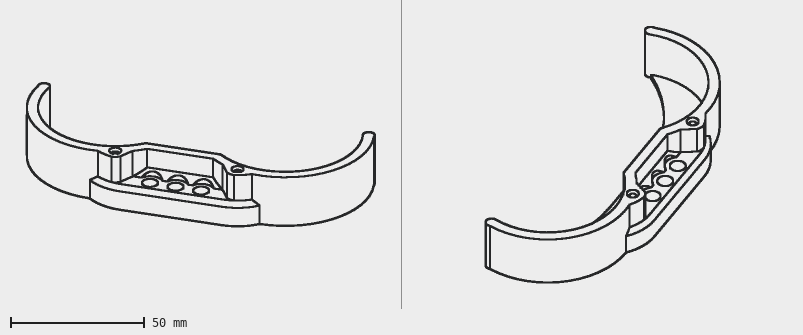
import cadquery as cq
import math

total_width = 132.91
total_depth = 48.12
height = 21.0

arm_outer_radius = 33.25
wall_thickness = 4.25
arm_inner_radius = arm_outer_radius - wall_thickness
arm_mid_radius = arm_outer_radius - wall_thickness / 2
arm_x = total_width / 2 - arm_outer_radius
arm_y = 38.2
tip_start_y = 45.4
bridge_thickness = 4.0
bridge_front_y = 11.9
bridge_back_y = bridge_front_y + bridge_thickness

plate_thickness = 1.5
plate_flat_half = 13.7
plate_edge_y = 21.9
plate_edge_radius = 61.0

tray_height = 10.0
tray_flat_half = 20.0
rim_chamfer = 2.0
tray_join_y = arm_y - arm_outer_radius
tray_end_y = tray_join_y + wall_thickness / 2

hole_diameter = 6.0
hole_clearance_diameter = 10.0
hole_pitch = 10.0
hole_count = 3
hole_y = 6.05
slope_size = 3.0

boss_x = 23.9
boss_y = 7.1
boss_round_x = 20.8
boss_wall_x = 17.6
screw_diameter = 2.53
screw_depth = 15.0
countersink_diameter = 4.5


def circle_front_y(center_y, radius, offset_x):
    """Y of the front (lower Y) side of a circle at a given X distance from its centre."""
    return center_y - math.sqrt(radius**2 - offset_x**2)


def circle_half_chord(center_y, radius, y):
    """X distance from a circle's centre to the circle at a given Y."""
    return math.sqrt(radius**2 - (center_y - y) ** 2)


def on_arm(radius, degrees):
    """Point on a circle about the right arm's centre."""
    angle = math.radians(degrees)
    return (arm_x + radius * math.cos(angle), arm_y + radius * math.sin(angle))


def both_sides(solid):
    """A right-hand solid together with its mirror image."""
    return solid.union(solid.mirror("YZ"))


bridge_front_x = arm_x - circle_half_chord(arm_y, arm_outer_radius, bridge_front_y)
bridge_back_x = arm_x - circle_half_chord(arm_y, arm_inner_radius, bridge_back_y)
tip_outer = (arm_x + circle_half_chord(arm_y, arm_outer_radius, tip_start_y), tip_start_y)
tip_inner = (arm_x + circle_half_chord(arm_y, arm_inner_radius, tip_start_y), tip_start_y)
tip_middle_x = (tip_outer[0] + tip_inner[0]) / 2
arc_middle_angle = -60


def make_wall():
    """Full-height wall: the two arms with their round tips and the bridge between them."""
    half = (
        cq.Workplane("XY")
        .moveTo(0, bridge_front_y)
        .lineTo(bridge_front_x, bridge_front_y)
        .threePointArc(on_arm(arm_outer_radius, arc_middle_angle), tip_outer)
        .threePointArc((tip_middle_x, total_depth), tip_inner)
        .threePointArc(on_arm(arm_inner_radius, arc_middle_angle), (bridge_back_x, bridge_back_y))
        .lineTo(0, bridge_back_y)
        .close()
        .extrude(height)
    )
    return both_sides(half)


def make_plate():
    """Floor plate: its back edge is flat in the middle and sweeps up to the arm tips."""
    edge_center_y = plate_edge_y + plate_edge_radius
    end_x = tip_inner[0]
    middle_x = (plate_flat_half + end_x) / 2
    end_y = circle_front_y(edge_center_y, plate_edge_radius, end_x - plate_flat_half)
    middle_y = circle_front_y(edge_center_y, plate_edge_radius, middle_x - plate_flat_half)
    half = (
        cq.Workplane("XY")
        .moveTo(0, bridge_front_y)
        .lineTo(bridge_front_x, bridge_front_y)
        .threePointArc(on_arm(arm_mid_radius, arc_middle_angle), on_arm(arm_mid_radius, 0))
        .lineTo(end_x, end_y)
        .threePointArc((middle_x, middle_y), (plate_flat_half, plate_edge_y))
        .lineTo(0, plate_edge_y)
        .close()
        .extrude(plate_thickness)
    )
    return both_sides(half)


corner_span = arm_x - tray_flat_half
corner_radius = (corner_span**2 + tray_join_y**2) / (2 * tray_join_y)


def tray_outline(inset):
    """Tray outline, moved inwards by inset, reaching back into the bridge wall."""
    radius = corner_radius - inset
    end_x = tray_flat_half + circle_half_chord(corner_radius, radius, tray_end_y)
    middle_x = (tray_flat_half + end_x) / 2
    middle_y = circle_front_y(corner_radius, radius, middle_x - tray_flat_half)
    back_y = (bridge_front_y + bridge_back_y) / 2
    return (
        cq.Workplane("XY")
        .moveTo(-tray_flat_half, inset)
        .lineTo(tray_flat_half, inset)
        .threePointArc((middle_x, middle_y), (end_x, tray_end_y))
        .lineTo(bridge_front_x, back_y)
        .lineTo(-bridge_front_x, back_y)
        .lineTo(-end_x, tray_end_y)
        .threePointArc((-middle_x, middle_y), (-tray_flat_half, inset))
        .close()
    )


def make_tray():
    """Tray body topped by the bevelled rim."""
    body_height = tray_height - rim_chamfer
    body = tray_outline(0).extrude(body_height)
    bevel = (
        cq.Workplane("XY")
        .add(tray_outline(0).wires().val().moved(cq.Location(cq.Vector(0, 0, body_height))))
        .add(tray_outline(rim_chamfer).wires().val().moved(cq.Location(cq.Vector(0, 0, tray_height))))
        .toPending()
        .loft(ruled=True)
    )
    return body.union(bevel)


def cut_holes(body, diameter, bottom_z, length):
    """Cut the row of upright holes one by one, as the wide ones touch each other."""
    for index in range(hole_count):
        hole_x = (index - (hole_count - 1) / 2) * hole_pitch
        hole = cq.Workplane("XY", origin=(hole_x, hole_y, bottom_z)).circle(diameter / 2).extrude(length)
        body = body.cut(hole)
    return body


def make_slope():
    """45 degree fillet between the tray top and the bridge wall, with room for the hole heads."""
    toe_y = bridge_front_y - slope_size
    half_length = arm_x - circle_half_chord(arm_y, arm_outer_radius, toe_y)
    slope = (
        cq.Workplane("YZ")
        .moveTo(toe_y, tray_height)
        .lineTo(bridge_front_y, tray_height + slope_size)
        .lineTo(bridge_front_y, tray_height)
        .close()
        .extrude(half_length, both=True)
    )
    return cut_holes(slope, hole_clearance_diameter, tray_height, slope_size)


def make_boss():
    """Screw boss: flush with the rim bevel outside, rounded about the screw, flat towards the holes."""
    rim_radius = corner_radius - rim_chamfer
    bottom_y = circle_front_y(corner_radius, rim_radius, boss_x - tray_flat_half)
    round_radius = boss_y - bottom_y
    round_y = circle_front_y(boss_y, round_radius, boss_x - boss_round_x)
    round_middle_x = (boss_x + boss_round_x) / 2
    round_middle_y = circle_front_y(boss_y, round_radius, boss_x - round_middle_x)
    end_x = tray_flat_half + circle_half_chord(corner_radius, rim_radius, tray_end_y)
    rim_middle_x = (boss_x + end_x) / 2
    rim_middle_y = circle_front_y(corner_radius, rim_radius, rim_middle_x - tray_flat_half)
    wall_y = circle_front_y(arm_y, arm_outer_radius, arm_x - boss_wall_x)
    wall_core_y = circle_front_y(arm_y, arm_mid_radius, arm_x - boss_wall_x)
    return (
        cq.Workplane("XY")
        .moveTo(boss_wall_x, wall_core_y)
        .lineTo(boss_wall_x, wall_y)
        .lineTo(boss_round_x, round_y)
        .threePointArc((round_middle_x, round_middle_y), (boss_x, bottom_y))
        .threePointArc((rim_middle_x, rim_middle_y), (end_x, tray_end_y))
        .close()
        .extrude(height)
    )


def make_screw_hole():
    """Blind screw hole with a 45 degree countersink."""
    countersink_depth = (countersink_diameter - screw_diameter) / 2
    return (
        cq.Workplane("XZ", origin=(boss_x, boss_y, height))
        .lineTo(countersink_diameter / 2, 0)
        .lineTo(screw_diameter / 2, -countersink_depth)
        .lineTo(screw_diameter / 2, -screw_depth)
        .lineTo(0, -screw_depth)
        .close()
        .revolve(360, (0, 0), (0, 1))
    )


result = (
    make_wall()
    .union(make_plate())
    .union(make_tray())
    .union(make_slope())
    .union(both_sides(make_boss()))
)
result = cut_holes(result, hole_diameter, 0, tray_height)
result = result.cut(both_sides(make_screw_hole()))